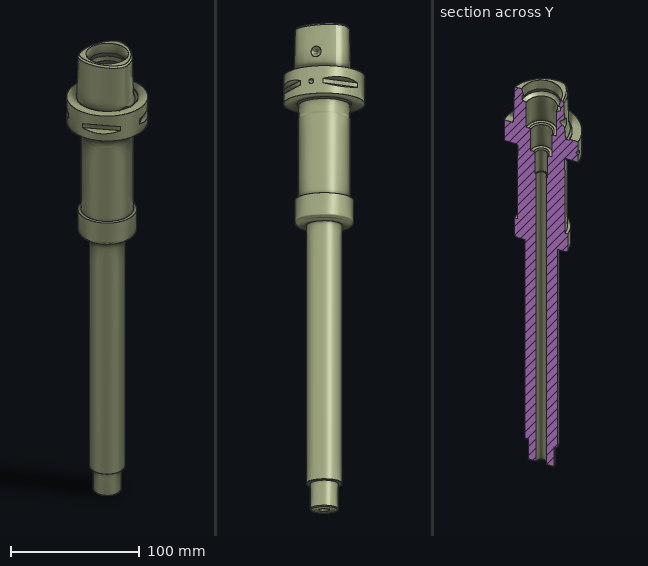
import cadquery as cq
import math

total_height = 387.5
flange_top = 349.5
flange_bottom = 327.5
neck_step = 316.2
collar_top = 249.5
collar_bottom = 229.5
pilot_height = 21.0

flange_diameter = 63.0
neck_upper_diameter = 40.0
neck_diameter = 40.5
collar_diameter = 45.7
shaft_diameter = 28.0
pilot_diameter = 22.0

collar_fillet = 3.0
pilot_chamfer = 0.8
shaft_chamfer = 0.5
flange_root_chamfer = 1.0
neck_step_cone_height = 1.5

shank_base_width = 44.0
shank_lobe_height = 1.7
shank_taper = 1 / 20
lobe_count = 3
shank_flare_height = 2.5
shank_flare_width = 1.0
shank_rim_height = 1.5
shank_rim_width = 1.0

recess_diameter = 48.0
recess_depth = 1.0

through_diameter = 8.5
bore_profile = [
    (33.0, 0),
    (32.0, 1.0),
    (29.0, 7.5),
    (32.0, 7.5),
    (32.0, 11.2),
    (28.0, 12.5),
    (25.0, 13.0),
    (25.0, 38.8),
    (20.0, 38.8),
    (18.0, 40.0),
    (18.0, 62.0),
    (12.5, 62.0),
    (10.5, 63.0),
    (10.5, 85.2),
    (through_diameter, 85.2),
    (through_diameter, total_height),
]

groove_height = 337.5
groove_floor_radius = 28.0
groove_floor_width = 3.5
groove_mouth_width = 7.8
groove_count = 4
flange_dimple_diameter = 4.0
shank_dimple_diameter = 8.5
shank_dimple_height = 364.5
dimple_clearance = 0.5


def turned_body():
    """Pilot, shaft, collar, neck and flange, revolved about Z."""
    pilot_radius = pilot_diameter / 2
    shaft_radius = shaft_diameter / 2
    collar_radius = collar_diameter / 2
    neck_radius = neck_diameter / 2
    neck_upper_radius = neck_upper_diameter / 2
    flange_radius = flange_diameter / 2
    fillet_reach = collar_fillet * math.sqrt(0.5)
    outline = (
        cq.Workplane("XZ")
        .lineTo(pilot_radius - pilot_chamfer, 0)
        .lineTo(pilot_radius, pilot_chamfer)
        .lineTo(pilot_radius, pilot_height)
        .lineTo(shaft_radius - shaft_chamfer, pilot_height)
        .lineTo(shaft_radius, pilot_height + shaft_chamfer)
        .lineTo(shaft_radius, collar_bottom)
        .lineTo(collar_radius - collar_fillet, collar_bottom)
        .threePointArc(
            (
                collar_radius - collar_fillet + fillet_reach,
                collar_bottom + collar_fillet - fillet_reach,
            ),
            (collar_radius, collar_bottom + collar_fillet),
        )
        .lineTo(collar_radius, collar_top)
        .lineTo(neck_radius, collar_top)
        .lineTo(neck_radius, neck_step - neck_step_cone_height)
        .lineTo(neck_upper_radius, neck_step)
        .lineTo(neck_upper_radius, flange_bottom - flange_root_chamfer)
        .lineTo(neck_upper_radius + flange_root_chamfer, flange_bottom)
        .lineTo(flange_radius, flange_bottom)
        .lineTo(flange_radius, flange_top)
        .lineTo(0, flange_top)
        .close()
    )
    body = outline.revolve(360, (0, 0), (0, 1))
    recess_floor = cq.Workplane("XY").workplane(offset=flange_top - recess_depth)
    return body.cut(recess_floor.circle(recess_diameter / 2).extrude(recess_depth))


def lobed_wire(width, height):
    """Constant-width outline with one lobe on +X and one flat side on -X."""

    def point(angle):
        reach = width / 2 + shank_lobe_height * math.cos(lobe_count * angle)
        slope = -lobe_count * shank_lobe_height * math.sin(lobe_count * angle)
        x = reach * math.cos(angle) - slope * math.sin(angle)
        y = reach * math.sin(angle) + slope * math.cos(angle)
        return cq.Vector(x, y, height)

    side_count = 2 * lobe_count
    side_angle = 2 * math.pi / side_count
    steps_per_side = 12
    edges = []
    for side in range(side_count):
        start = (side - 0.5) * side_angle
        angles = [start + side_angle * i / steps_per_side for i in range(steps_per_side + 1)]
        edges.append(cq.Edge.makeSpline([point(angle) for angle in angles]))
    return cq.Wire.assembleEdges(edges)


def shank():
    """Tapered three-lobed shank with a flared foot and a chamfered top rim."""
    foot_bottom = flange_top - recess_depth
    foot_top = flange_top + shank_flare_height
    rim_bottom = total_height - shank_rim_height

    def width_at(height):
        return shank_base_width - (height - flange_top) * shank_taper

    foot_width = width_at(foot_top) + 2 * shank_flare_width
    rim_width = width_at(rim_bottom) - 2 * shank_rim_width
    wires = [
        lobed_wire(foot_width, foot_bottom),
        lobed_wire(width_at(foot_top), foot_top),
        lobed_wire(width_at(rim_bottom), rim_bottom),
        lobed_wire(rim_width, total_height),
    ]
    body = cq.Workplane("XY")
    for lower, upper in zip(wires, wires[1:]):
        body = body.union(cq.Workplane(cq.Solid.makeLoft([lower, upper], True)))
    envelope = cq.Workplane("XY").workplane(offset=foot_bottom).circle(recess_diameter / 2)
    return body.intersect(envelope.extrude(total_height - foot_bottom))


def bore():
    """Stepped bore open at the top, with a hole through the full length."""
    outline = [(diameter / 2, total_height - depth) for diameter, depth in bore_profile]
    outline = [(0, total_height)] + outline + [(0, 0)]
    return cq.Workplane("XZ").polyline(outline).close().revolve(360, (0, 0), (0, 1))


def gripper_grooves():
    """Straight flared grooves across the flange rim, midway between the X and Y axes."""
    mouth_radius = flange_diameter / 2
    section = [
        (groove_floor_radius, groove_height - groove_floor_width / 2),
        (mouth_radius, groove_height - groove_mouth_width / 2),
        (mouth_radius, groove_height + groove_mouth_width / 2),
        (groove_floor_radius, groove_height + groove_floor_width / 2),
    ]
    groove = cq.Workplane("XZ").polyline(section).close().extrude(mouth_radius, both=True)
    cutter = cq.Workplane("XY")
    pitch = 360 / groove_count
    for i in range(groove_count):
        cutter = cutter.add(groove.rotate((0, 0, 0), (0, 0, 1), (i + 0.5) * pitch))
    return cutter.combine()


def dimple(diameter, height, surface_x):
    """Right-angled cone sunk into the -X side, with the given diameter at surface_x."""
    radius = diameter / 2 + dimple_clearance
    mouth = cq.Vector(surface_x - dimple_clearance, 0, height)
    return cq.Workplane(cq.Solid.makeCone(radius, 0, radius, mouth, cq.Vector(1, 0, 0)))


shank_width_at_dimple = shank_base_width - (shank_dimple_height - flange_top) * shank_taper
shank_flat_x = shank_lobe_height - shank_width_at_dimple / 2

result = turned_body().union(shank())
result = result.cut(bore())
result = result.cut(gripper_grooves())
result = result.cut(dimple(flange_dimple_diameter, groove_height, -flange_diameter / 2))
result = result.cut(dimple(shank_dimple_diameter, shank_dimple_height, shank_flat_x))